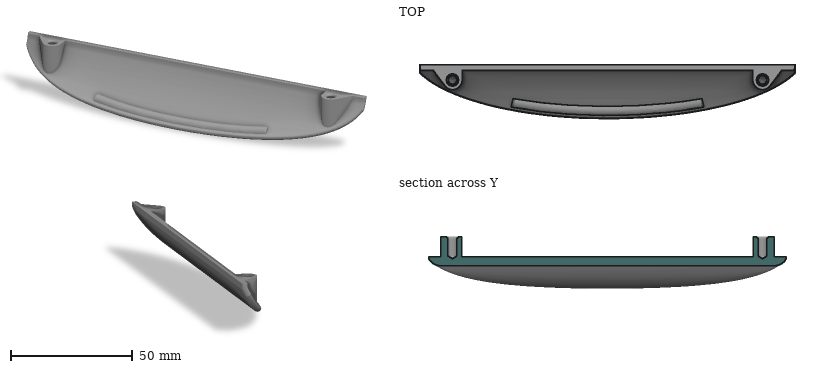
import cadquery as cq
import math

length = 155.0
depth = 22.33

wall_axis_y = -32.9
wall_axis_z = 12.5
outer_radius = 36.2
wall_thickness = 2.5
inner_radius = outer_radius - wall_thickness

lip_thickness = 2.4
lip_blend_radius = 3.3

plan_semi_x = 82.0
plan_semi_y = 28.0
plan_center_y = plan_semi_y - depth
rim_outer_fillet = 1.5
rim_inner_fillet = 0.8

boss_x = 64.0
boss_y = -6.35
boss_radius = 4.0
web_outer_x = 72.0
screw_hole_diameter = 3.5
screw_hole_depth = 8.0
countersink_diameter = 5.0
drill_angle = 118.0

rib_inset = 3.6
rib_half_length = 39.4
rib_radius = 2.3
rib_height = 1.35
rib_end_fillet = 0.5
rib_path_steps = 6

wall_embed = 0.6

tolerance = 0.01


def plan_y(x, inset):
    """Front Y of the plan outline at x, moved back by inset."""
    return plan_center_y - plan_semi_y * math.sqrt(1 - (x / plan_semi_x) ** 2) + inset


def wall_z(y, radius):
    """Height of the concentric wall arc of the given radius at y."""
    return wall_axis_z - math.sqrt(radius**2 - (y - wall_axis_y) ** 2)


def along_x(radius):
    """Cylinder about the wall's axis, spanning the whole length."""
    section = cq.Workplane("YZ", origin=(-length / 2, 0, 0)).center(wall_axis_y, wall_axis_z)
    return section.circle(radius).extrude(length)


def block_in_front_of(back_y):
    """Tall block below the top plane that fills everything in front of back_y."""
    block = cq.Workplane("XY").box(length, 2 * depth, 2 * outer_radius, centered=(True, False, False))
    return block.translate((0, back_y - 2 * depth, -2 * outer_radius))


def rim_edges(wall, radius):
    """Curved edges of the rim that run along the wall arc of the given radius."""
    found = []
    for edge in wall.edges("not |X").vals():
        points = (edge.startPoint(), edge.endPoint(), edge.positionAt(0.5))
        distances = [math.hypot(point.y - wall_axis_y, point.z - wall_axis_z) for point in points]
        if all(abs(distance - radius) < tolerance for distance in distances):
            found.append(edge)
    return found


def make_hollow():
    """Volume inside the wall: the inner arc blended into the upright face of the lip."""
    hollow = along_x(inner_radius).intersect(block_in_front_of(-lip_thickness))
    lip_bottom = (0, -lip_thickness, wall_z(-lip_thickness, inner_radius))
    blend_edge = cq.selectors.NearestToPointSelector(lip_bottom)
    return hollow.edges(blend_edge).fillet(lip_blend_radius)


def make_wall():
    """Curved wall with its lip, trimmed to the plan ellipse and rounded along both edges of the rim."""
    plan = cq.Workplane("XY", origin=(0, plan_center_y, 0))
    plan_prism = plan.ellipse(plan_semi_x, plan_semi_y).extrude(-outer_radius)
    wall = along_x(outer_radius).intersect(block_in_front_of(0)).cut(make_hollow()).intersect(plan_prism)
    wall = wall.newObject(rim_edges(wall, outer_radius)).fillet(rim_outer_fillet)
    return wall.newObject(rim_edges(wall, inner_radius)).fillet(rim_inner_fillet)


def make_boss(side):
    """Round screw post with a web to the lip, reaching down into the wall; side is -1 or +1."""
    run_x = boss_x - web_outer_x
    run_y = boss_y + lip_thickness
    reach = math.hypot(run_x, run_y)
    tangent_angle = math.atan2(-run_y, -run_x) - math.acos(boss_radius / reach)
    tangent_x = boss_x + boss_radius * math.cos(tangent_angle)
    tangent_y = boss_y + boss_radius * math.sin(tangent_angle)
    inner_x = boss_x - boss_radius
    web_back_y = -lip_thickness / 2
    outline = (
        cq.Workplane("XY")
        .moveTo(side * web_outer_x, -lip_thickness)
        .lineTo(side * tangent_x, tangent_y)
        .threePointArc((side * boss_x, boss_y - boss_radius), (side * inner_x, boss_y))
        .lineTo(side * inner_x, web_back_y)
        .lineTo(side * web_outer_x, web_back_y)
        .close()
    )
    return outline.extrude(-outer_radius).intersect(along_x(inner_radius + wall_embed))


def make_screw_hole(side):
    """Blind drilled hole with a countersunk mouth, opening on the top plane."""
    hole_radius = screw_hole_diameter / 2
    countersink_radius = countersink_diameter / 2
    countersink_depth = countersink_radius - hole_radius
    tip_depth = screw_hole_depth + hole_radius / math.tan(math.radians(drill_angle / 2))
    half_section = (
        cq.Workplane("XZ")
        .lineTo(countersink_radius, 0)
        .lineTo(hole_radius, -countersink_depth)
        .lineTo(hole_radius, -screw_hole_depth)
        .lineTo(0, -tip_depth)
        .close()
    )
    return half_section.revolve(360, (0, 0), (0, 1)).translate((side * boss_x, boss_y, 0))


def make_rib():
    """Rounded rib that follows the rim along the inner face of the wall."""
    rod_arc_radius = inner_radius + rib_radius - rib_height
    path_points = []
    for step in range(-rib_path_steps, rib_path_steps + 1):
        x = rib_half_length * step / rib_path_steps
        y = plan_y(x, rib_inset)
        path_points.append((x, y, wall_z(y, rod_arc_radius)))
    path = cq.Workplane("XY").spline(path_points)
    start_direction = path.val().tangentAt(0)
    start_plane = cq.Plane(origin=path_points[0], normal=start_direction.toTuple())
    rod = cq.Workplane(start_plane).circle(rib_radius).sweep(path)
    rod = rod.faces("<X or >X").edges().fillet(rib_end_fillet)
    return rod.intersect(along_x(inner_radius + wall_embed))


result = make_wall().union(make_rib())
for boss_side in (-1, 1):
    result = result.union(make_boss(boss_side))
    result = result.cut(make_screw_hole(boss_side))